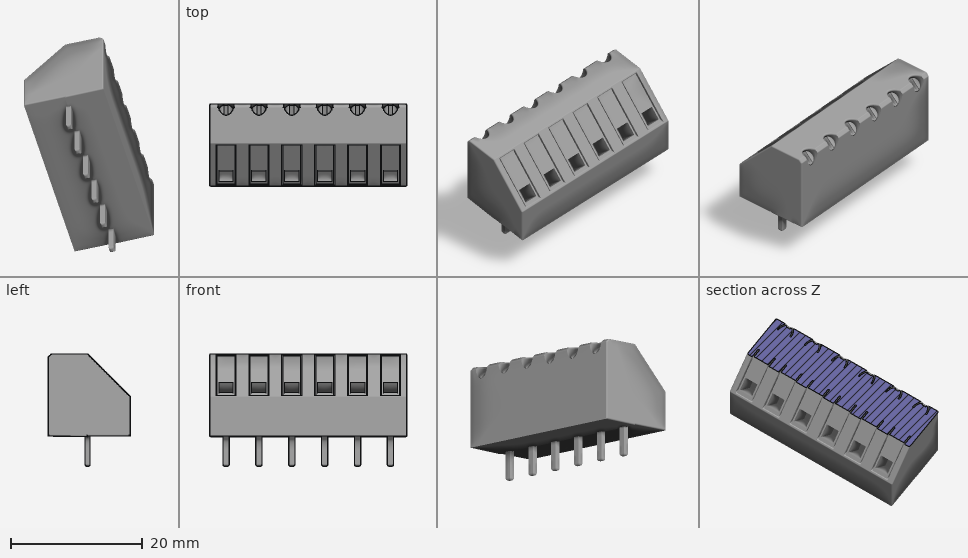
import cadquery as cq
import math

poles = 6
length = 30.0
pitch = length / poles

depth = 12.5
height = 12.6
slope_run = 6.48
back_chamfer = 0.5
foot_drop = 0.1
foot_from_back = 6.1
edge_radius = 0.2

pocket_width = 3.1
pocket_margin = 0.18
insert_width = 2.7
insert_recess = 0.12
entry_size = 2.2
entry_from_front = 2.05
entry_depth = 3.9

bore_diameter = 2.45
bore_rim_radius = 0.2
bore_offset = 0.25
bore_floor_depth = 2.4
screw_diameter = 2.15
screw_edge_radius = 0.12
screw_face_depth = 1.4
slot_width = 0.63
slot_depth = 0.18

pin_width = 1.0
pin_thickness = 0.8
pin_length = 4.5
pin_from_back = 6.0
pin_tip_radius = 0.35
pin_embed = 0.6

pole_positions = [(i - (poles - 1) / 2) * pitch for i in range(poles)]
slope_length = slope_run * math.sqrt(2)

pocket_floor_z = height - slope_run + pocket_margin
pocket_back_y = slope_run - pocket_margin
pocket_top_z = height - pocket_margin

slope_centre = (0, slope_run / 2, height - slope_run / 2)
slope_plane = cq.Plane(origin=slope_centre, xDir=(1, 0, 0), normal=(0, -1, 1))

bore_shift = bore_offset / math.sqrt(2)
bore_mouth = (0, depth + bore_shift, height - bore_shift)
bore_plane = cq.Plane(origin=bore_mouth, xDir=(1, 0, 0), normal=(0, 1, 1))


def at_poles(plane, z, y=0):
    return cq.Workplane(plane).workplane(offset=z).pushPoints([(x, y) for x in pole_positions])


def is_rounded(edge):
    """True for every edge of the plain body except the lengthwise ones of the underside, which stay sharp."""
    centre = edge.Center()
    lengthwise = abs(centre.x) < length / 4
    on_underside = centre.z < height / 4
    return not (lengthwise and on_underside)


def make_body():
    foot_y = depth - foot_from_back
    outline = [
        (0, foot_drop),
        (0, height - slope_run),
        (slope_run, height),
        (depth - back_chamfer, height),
        (depth, height - back_chamfer),
        (depth, foot_drop),
        (foot_y, 0),
        (foot_y, foot_drop),
    ]
    body = cq.Workplane("YZ").polyline(outline).close().extrude(length / 2, both=True)
    return body.edges().filter(is_rounded).fillet(edge_radius)


def make_bored_stock():
    """Plain stock with a flat top face, holding the screw bores and their rounded rims."""
    stock = cq.Workplane(origin=(0, 0, height)).rect(2 * length, 4 * depth).extrude(-height)
    bores = at_poles(bore_plane, -bore_floor_depth).circle(bore_diameter / 2).extrude(
        bore_floor_depth + bore_diameter
    )
    return stock.cut(bores).faces(">Z").edges("%ELLIPSE").fillet(bore_rim_radius)


def make_screws():
    """Slotted screw heads standing on the bore floors."""
    head_height = bore_floor_depth - screw_face_depth
    heads = at_poles(bore_plane, -bore_floor_depth).circle(screw_diameter / 2).extrude(head_height)
    heads = heads.faces(">(0, 1, 1)").edges().fillet(screw_edge_radius)
    slots = at_poles(bore_plane, -screw_face_depth).rect(slot_width, screw_diameter).extrude(-slot_depth)
    return heads.cut(slots)


def triangle_prisms(width, recess):
    """Wedges under the slope at every pole, with their slanted face sunk below the slope by the recess."""
    drop = recess * math.sqrt(2)
    front_y = pocket_margin + drop
    wedge = (
        cq.Workplane("YZ")
        .moveTo(front_y, pocket_floor_z)
        .lineTo(pocket_back_y, pocket_floor_z)
        .lineTo(pocket_back_y, pocket_top_z - drop)
        .close()
        .extrude(width / 2, both=True)
        .val()
    )
    return cq.Workplane().pushPoints([(x, 0) for x in pole_positions]).eachpoint(lambda place: wedge.moved(place))


def make_entries():
    entry_y = entry_from_front - slope_length / 2
    return at_poles(slope_plane, 0, entry_y).rect(entry_size, entry_size).extrude(-entry_depth)


def make_pins():
    pin_plane = cq.Plane(origin=(0, depth - pin_from_back, -pin_length))
    pins = at_poles(pin_plane, 0).rect(pin_width, pin_thickness).extrude(pin_length + pin_embed)
    return pins.faces("<Z").edges().fillet(pin_tip_radius)


block = make_body().intersect(make_bored_stock()).union(make_screws())
block = block.cut(triangle_prisms(pocket_width, 0)).union(triangle_prisms(insert_width, insert_recess))
result = block.cut(make_entries()).union(make_pins())